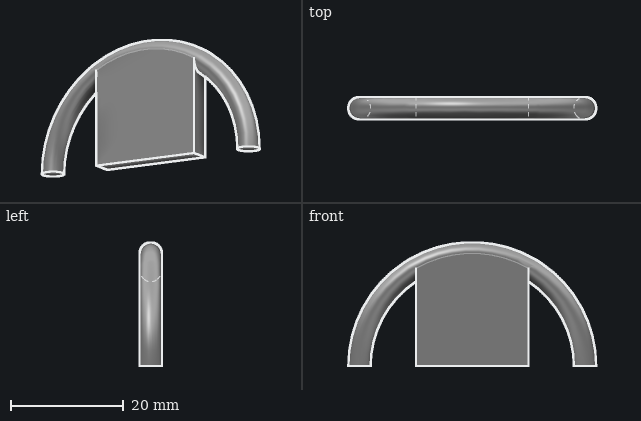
import cadquery as cq
import math

span = 44.0
bar_diameter = 4.0
block_width = 20.0
block_thickness = bar_diameter

centreline_radius = (span - bar_diameter) / 2
half_width = block_width / 2
shoulder_height = math.sqrt(centreline_radius**2 - half_width**2)


def make_arch():
    """Half ring of round bar, with both feet flat on Z = 0."""
    return (
        cq.Workplane("XY")
        .center(-centreline_radius, 0)
        .circle(bar_diameter / 2)
        .revolve(180, (centreline_radius, 0), (centreline_radius, 1))
    )


def make_block():
    """Flat block whose rounded top follows the centreline of the arch."""
    return (
        cq.Workplane("XZ")
        .moveTo(-half_width, 0)
        .lineTo(-half_width, shoulder_height)
        .threePointArc((0, centreline_radius), (half_width, shoulder_height))
        .lineTo(half_width, 0)
        .close()
        .extrude(block_thickness / 2, both=True)
    )


result = make_arch().union(make_block())